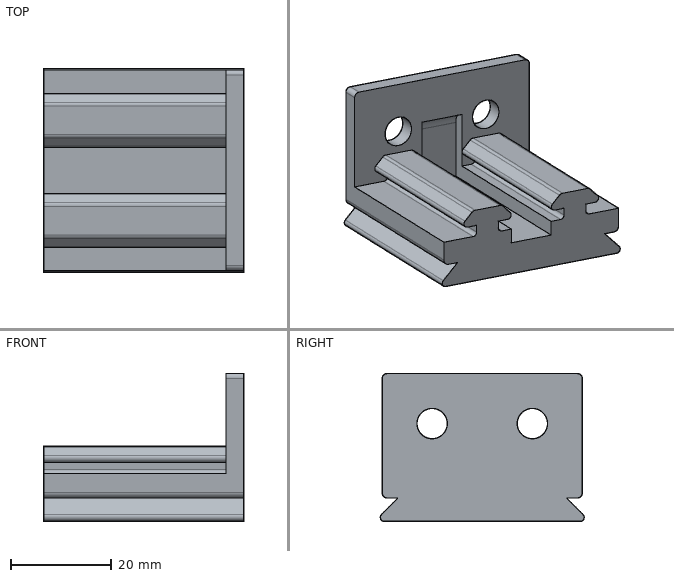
import cadquery as cq
import math

length = 40.0
width = 40.0
plate_thickness = 3.6
plate_height = 20.0
plate_corner_radius = 1.0

base_top = 9.52
dovetail_overall_width = 40.73
dovetail_height = 4.63
base_corner_radius = 1.1
tip_radius = 0.8

rail_offset = 10.0
rail_top = 15.02
head_underside = 11.75
head_width = 10.8
head_edge_radius = 1.0
stem_width = 5.0
stem_foot_radius = 0.8

channel_width = 9.1
channel_floor = 6.6
pocket_depth = 2.5
pocket_top = 20.5
pocket_radius = 2.5

hole_diameter = 6.0
hole_offset = 10.0
hole_below_top = 10.0

plate_top = base_top + plate_height
plate_face = length - plate_thickness


def sharp_half_width(rounded_width):
    """Half width to the sharp corner of a 45 degree edge whose tip is rounded."""
    return rounded_width / 2 + math.sqrt(2) * tip_radius


def unit_vector(start, end):
    distance = math.dist(start, end)
    return (end[0] - start[0]) / distance, (end[1] - start[1]) / distance


def symmetric_prism(half_outline, start_x, end_x):
    """Extrude along X the outline of (y, z, corner radius) points mirrored about Y = 0."""
    mirrored = [(-y, z, radius) for y, z, radius in reversed(half_outline)]
    corners = half_outline + mirrored
    path = cq.Workplane("YZ", origin=(start_x, 0, 0)).moveTo(*corners[0][:2])
    for index in range(1, len(corners)):
        y, z, radius = corners[index]
        if radius == 0:
            path = path.lineTo(y, z)
            continue
        corner = (y, z)
        following = corners[(index + 1) % len(corners)]
        back = unit_vector(corner, corners[index - 1][:2])
        ahead = unit_vector(corner, following[:2])
        half_angle = math.acos(back[0] * ahead[0] + back[1] * ahead[1]) / 2
        setback = radius / math.tan(half_angle)
        to_arc = radius / math.sin(half_angle) - radius
        middle = unit_vector((0, 0), (back[0] + ahead[0], back[1] + ahead[1]))
        path = path.lineTo(y + setback * back[0], z + setback * back[1])
        path = path.threePointArc(
            (y + to_arc * middle[0], z + to_arc * middle[1]),
            (y + setback * ahead[0], z + setback * ahead[1]),
        )
    return path.close().extrude(end_x - start_x)


def make_base():
    tip = sharp_half_width(dovetail_overall_width)
    return symmetric_prism(
        [
            (0, 0, 0),
            (tip, 0, tip_radius),
            (tip - dovetail_height, dovetail_height, 0),
            (width / 2, dovetail_height, base_corner_radius),
            (width / 2, base_top, 0),
        ],
        0,
        length,
    )


def make_plate():
    return symmetric_prism(
        [
            (width / 2, base_top, 0),
            (width / 2, plate_top, plate_corner_radius),
        ],
        plate_face,
        length,
    )


def make_rail():
    tip = sharp_half_width(head_width)
    foot = stem_width / 2 + 2 * stem_foot_radius
    return symmetric_prism(
        [
            (foot, base_top, 0),
            (stem_width / 2, base_top, stem_foot_radius),
            (stem_width / 2, head_underside, 0),
            (tip, head_underside, tip_radius),
            (tip - (rail_top - head_underside), rail_top, head_edge_radius),
        ],
        0,
        plate_face,
    )


def make_channel():
    pocket_back = plate_face + pocket_depth
    return (
        cq.Workplane("XZ", origin=(0, channel_width / 2, 0))
        .moveTo(0, channel_floor)
        .lineTo(pocket_back, channel_floor)
        .lineTo(pocket_back, pocket_top - pocket_radius)
        .radiusArc((pocket_back - pocket_radius, pocket_top), -pocket_radius)
        .lineTo(0, pocket_top)
        .close()
        .extrude(channel_width)
    )


def make_hole(y):
    return (
        cq.Workplane("YZ", origin=(plate_face, y, plate_top - hole_below_top))
        .circle(hole_diameter / 2)
        .extrude(plate_thickness)
    )


result = make_base().union(make_plate()).cut(make_channel())
for side in (-1, 1):
    result = result.union(make_rail().translate((0, side * rail_offset, 0)))
    result = result.cut(make_hole(side * hole_offset))